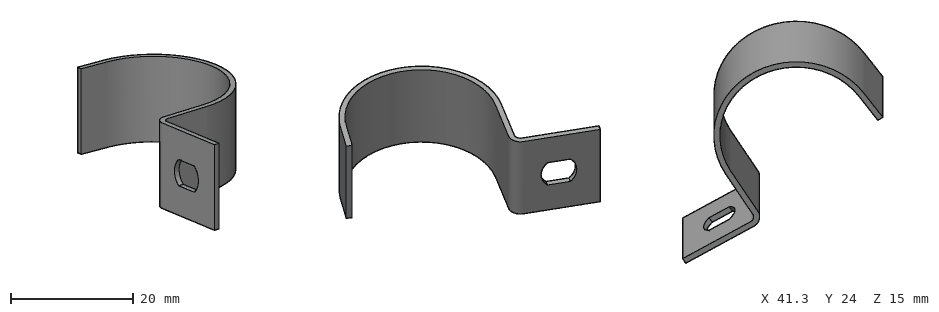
import cadquery as cq
import math

strip_width = 15.0
thickness = 1.0
hoop_outer_radius = 13.5
flange_reach = 14.0
flange_depth = 10.5
bend_inner_radius = 1.0
lip_angle = 4.0
lip_length = 5.4
hole_diameter = 6.0
hole_flat_height = 4.6

hoop_inner_radius = hoop_outer_radius - thickness
bend_outer_radius = bend_inner_radius + thickness
flange_tip_x = hoop_outer_radius + flange_reach
flange_outer_y = -flange_depth
flange_inner_y = flange_outer_y + thickness
bend_center_x = hoop_outer_radius + bend_inner_radius
bend_center_y = flange_inner_y + bend_inner_radius
hole_center_x = flange_tip_x - flange_reach / 2


def polar(radius, degrees, center=(0.0, 0.0)):
    """Point at a radius and angle around a center in the XY plane."""
    angle = math.radians(degrees)
    return (center[0] + radius * math.cos(angle), center[1] + radius * math.sin(angle))


def lip_end(radius):
    """End of the straight lip that leaves the hoop tangentially at the given radius."""
    start = polar(radius, 180 - lip_angle)
    return polar(lip_length, 270 - lip_angle, start)


def make_strip():
    """Bent strip: free lip, hoop, straight leg, bend and flange."""
    lip_start_angle = 180 - lip_angle
    bend_center = (bend_center_x, bend_center_y)
    return (
        cq.Workplane("XY")
        .workplane(offset=-strip_width / 2)
        .moveTo(*lip_end(hoop_outer_radius))
        .lineTo(*polar(hoop_outer_radius, lip_start_angle))
        .threePointArc((0, hoop_outer_radius), (hoop_outer_radius, 0))
        .lineTo(hoop_outer_radius, bend_center_y)
        .threePointArc(polar(bend_inner_radius, 225, bend_center), (bend_center_x, flange_inner_y))
        .lineTo(flange_tip_x, flange_inner_y)
        .lineTo(flange_tip_x, flange_outer_y)
        .lineTo(bend_center_x, flange_outer_y)
        .threePointArc(polar(bend_outer_radius, 225, bend_center), (hoop_inner_radius, bend_center_y))
        .lineTo(hoop_inner_radius, 0)
        .threePointArc((0, hoop_inner_radius), polar(hoop_inner_radius, lip_start_angle))
        .lineTo(*lip_end(hoop_inner_radius))
        .close()
        .extrude(strip_width)
    )


def make_hole_cutter():
    """Round hole with flats above and below, running through the flange along Y."""
    hole_radius = hole_diameter / 2
    half_height = hole_flat_height / 2
    half_flat = math.sqrt(hole_radius**2 - half_height**2)
    return (
        cq.Workplane("XZ", origin=(hole_center_x, flange_inner_y, 0))
        .moveTo(-half_flat, half_height)
        .lineTo(half_flat, half_height)
        .threePointArc((hole_radius, 0), (half_flat, -half_height))
        .lineTo(-half_flat, -half_height)
        .threePointArc((-hole_radius, 0), (-half_flat, half_height))
        .close()
        .extrude(thickness)
    )


result = make_strip().cut(make_hole_cutter())